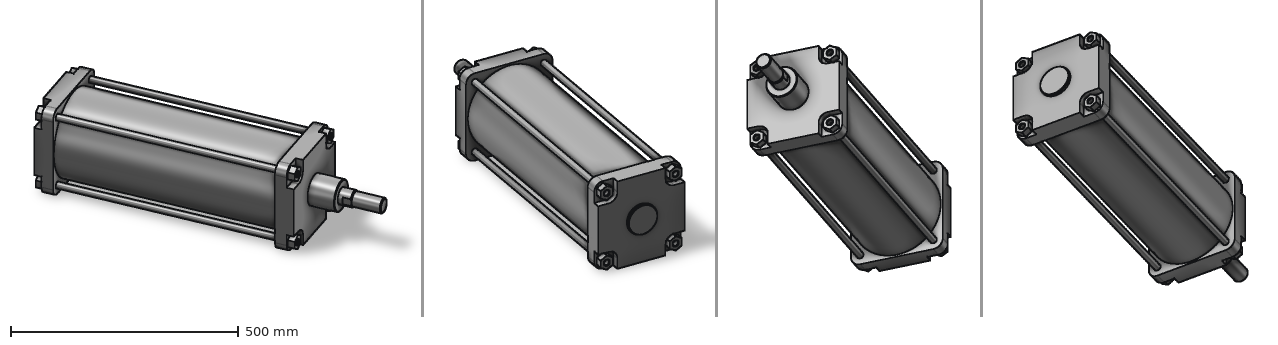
import cadquery as cq
import math

overall_length = 803.0
head_side = 220.0
head_thickness = 46.0
head_corner_radius = 22.5
rear_spigot_length = 7.0
barrel_length = 536.5
barrel_diameter = 210.0

pocket_depth = 18.0
pocket_side = 49.0
pocket_corner_radius = 22.5

spigot_diameter = 75.0
spigot_chamfer = 2.0
neck_length = 65.0

tie_rod_diameter = 16.0
tie_rod_offset = head_side / 2 - head_corner_radius
nut_across_flats = 31.0
nut_height = 17.0
end_hole_diameter = 13.0
end_hole_depth = nut_height
end_hole_chamfer = 2.0

rod_diameter = 40.0
rod_thread_diameter = 36.0
rod_thread_length = 70.0
rod_chamfer = 2.5
wrench_flat_length = 22.0
wrench_across_flats = 36.0

rear_face = rear_spigot_length
barrel_start = rear_face + head_thickness
barrel_end = barrel_start + barrel_length
front_face = barrel_end + head_thickness
neck_end = front_face + neck_length
rod_shoulder = overall_length - rod_thread_length


def cylinder_x(diameter, start, end):
    """Round bar on the X axis between two stations."""
    return cq.Workplane("YZ", origin=(start, 0, 0)).circle(diameter / 2).extrude(end - start)


def make_corner_pockets(start):
    """Four square corner cutters whose inner edges are rounded."""
    cutter_side = 2 * pocket_side
    cutters = (
        cq.Workplane("YZ", origin=(start, 0, 0))
        .rect(head_side, head_side, forConstruction=True)
        .vertices()
        .rect(cutter_side, cutter_side)
        .extrude(pocket_depth)
    )
    return cutters.edges("|X").fillet(pocket_corner_radius)


def make_head(start, pocket_start):
    """Square head plate with rounded corners, nut pockets and tie rod holes."""
    plate = (
        cq.Workplane("YZ", origin=(start, 0, 0))
        .rect(head_side, head_side)
        .extrude(head_thickness)
        .edges("|X")
        .fillet(head_corner_radius)
    )
    plate = plate.cut(make_corner_pockets(pocket_start))
    tie_rod_holes = (
        cq.Workplane("YZ", origin=(start, 0, 0))
        .rect(2 * tie_rod_offset, 2 * tie_rod_offset, forConstruction=True)
        .vertices()
        .circle(tie_rod_diameter / 2)
        .extrude(head_thickness)
    )
    return plate.cut(tie_rod_holes)


def make_rear_head():
    """Rear head with a short locating spigot."""
    spigot = cylinder_x(spigot_diameter, 0, rear_face).faces("<X").chamfer(spigot_chamfer)
    return make_head(rear_face, rear_face).union(spigot)


def make_front_head():
    """Front head with a neck, bored through for the piston rod."""
    neck = cylinder_x(spigot_diameter, front_face, neck_end).faces(">X").chamfer(spigot_chamfer)
    head = make_head(barrel_end, front_face - pocket_depth).union(neck)
    return head.cut(cylinder_x(rod_diameter, barrel_end, neck_end))


def make_barrel():
    """Plain round barrel held between the heads."""
    return cylinder_x(barrel_diameter, barrel_start, barrel_end)


def make_piston_rod():
    """Rod with two wrench flats behind its shoulder and a thinner threaded end."""
    shank = cylinder_x(rod_diameter, barrel_end, rod_shoulder).faces(">X").chamfer(rod_chamfer)
    flat_center = rod_shoulder - wrench_flat_length / 2
    for y_side in (-1, 1):
        flat_cutter = cq.Workplane("XY").box(wrench_flat_length, rod_diameter, rod_diameter)
        cutter_offset = (wrench_across_flats + rod_diameter) / 2
        shank = shank.cut(flat_cutter.translate((flat_center, y_side * cutter_offset, 0)))
    thread = cylinder_x(rod_thread_diameter, rod_shoulder, overall_length)
    return shank.union(thread.faces(">X").chamfer(rod_chamfer))


def make_nut(start):
    """Hexagonal nut on the X axis, with its corners pointing up and down."""
    across_corners = nut_across_flats / math.cos(math.pi / 6)
    nut = cq.Workplane("YZ", origin=(start, 0, 0)).polygon(6, across_corners).extrude(nut_height)
    return nut.rotate((0, 0, 0), (1, 0, 0), 90)


def make_end_hole(start):
    """Blind hole cutter with a flared mouth, entering the tie rod in the +X direction."""
    hole_radius = end_hole_diameter / 2
    mouth_radius = hole_radius + end_hole_chamfer
    half_section = [
        (start, 0),
        (start, mouth_radius),
        (start + end_hole_chamfer, hole_radius),
        (start + end_hole_depth, hole_radius),
        (start + end_hole_depth, 0),
    ]
    return cq.Workplane("XY").polyline(half_section).close().revolve(360, (0, 0, 0), (1, 0, 0))


def make_tie_rod():
    """Tie rod on the X axis with a nut at each end and a blind hole in each end face."""
    rear_end = rear_face + pocket_depth - nut_height
    front_end = front_face - pocket_depth + nut_height
    rod = cylinder_x(tie_rod_diameter, rear_end, front_end)
    rod = rod.union(make_nut(rear_end)).union(make_nut(front_end - nut_height))
    end_hole = make_end_hole(rear_end)
    middle = (rear_end + front_end) / 2
    return rod.cut(end_hole).cut(end_hole.mirror("YZ", (middle, 0, 0)))


rear_head = make_rear_head()
front_head = make_front_head()
barrel = make_barrel()
piston_rod = make_piston_rod()

tie_rods = []
for y_side in (-1, 1):
    for z_side in (-1, 1):
        place = (0, y_side * tie_rod_offset, z_side * tie_rod_offset)
        tie_rods.append(make_tie_rod().translate(place))

result = cq.Compound.makeCompound(
    [
        rear_head.val(),
        front_head.val(),
        barrel.val(),
        piston_rod.val(),
        *[tie_rod.val() for tie_rod in tie_rods],
    ]
)